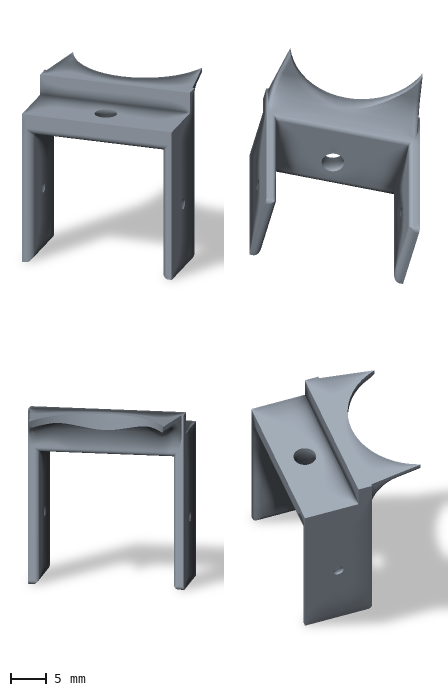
import cadquery as cq

width = 22.0
height = 25.0
body_depth = 9.9

step_height = 3.0
step_depth = 2.0

wall = 1.5
roof = 3.02
channel_round = 0.98
back_round = 0.6

wing_reach = 7.75
wing_tip_x = 9.48
wing_thickness = 1.0
gusset_radius = 3.92
wing_edge_round = 0.5
scoop_radius = 10.0
scoop_gap = 1.0

roof_hole_diameter = 3.15
leg_hole_diameter = 1.5
leg_hole_height = 9.5

half_width = width / 2
ledge_height = height - step_height
channel_top = ledge_height - roof
inner_x = half_width - wall


def leg_corner_cutter(side):
    """Full-depth cutter that rounds the inner bottom corner of one leg."""
    r = channel_round
    block = cq.Workplane("XY").box(r, body_depth, r, centered=(True, False, False))
    block = block.translate((side * (inner_x + r / 2), -body_depth, 0))
    rod = (
        cq.Workplane("XZ", origin=(side * (inner_x + r), 0, r))
        .circle(r)
        .extrude(body_depth)
    )
    return block.cut(rod)


def make_body():
    """Stepped block with the channel cut through and its edges rounded."""
    body = (
        cq.Workplane("YZ", origin=(-half_width, 0, 0))
        .moveTo(0, 0)
        .lineTo(0, height)
        .lineTo(-step_depth, height)
        .lineTo(-step_depth, ledge_height)
        .lineTo(-body_depth, ledge_height)
        .lineTo(-body_depth, 0)
        .close()
        .extrude(width)
    )
    channel = cq.Workplane("XY").box(
        2 * inner_x, 2 * body_depth, channel_top, centered=(True, True, False)
    )
    body = body.cut(channel)
    margin = 0.25
    for y, radius in ((-body_depth, channel_round), (0, back_round)):
        rim = cq.selectors.BoxSelector(
            (-inner_x - margin, y - margin, margin),
            (inner_x + margin, y + margin, channel_top + margin),
        )
        body = body.edges(rim).fillet(radius)
    for side in (-1, 1):
        body = body.cut(leg_corner_cutter(side))
    rounded_block = (
        cq.Workplane("XY", origin=(0, -body_depth / 2, height / 2))
        .box(width, body_depth, height)
        .edges(">Y and <Z")
        .fillet(back_round)
    )
    return body.intersect(rounded_block)


def make_wing():
    """Tapered plate with a curved gusset below and a round scoop behind."""
    underside = height - wing_thickness
    profile = (
        cq.Workplane("YZ", origin=(-half_width, 0, 0))
        .moveTo(-step_depth, height)
        .lineTo(wing_reach, height)
        .lineTo(wing_reach, underside)
        .lineTo(gusset_radius, underside)
        .radiusArc((0, underside - gusset_radius), -gusset_radius)
        .lineTo(-step_depth, underside - gusset_radius)
        .close()
        .extrude(width)
    )
    taper = (
        cq.Workplane("XY")
        .polyline([
            (-half_width, -step_depth),
            (half_width, -step_depth),
            (wing_tip_x, wing_reach),
            (-wing_tip_x, wing_reach),
        ])
        .close()
        .extrude(height)
    )
    wing = profile.intersect(taper)
    margin = 0.25
    lower_edges = cq.selectors.BoxSelector(
        (-half_width, 0, underside - gusset_radius),
        (half_width, wing_reach - margin, underside + margin),
    )
    side_edges = wing.faces("<X or >X").edges(lower_edges)
    wing = wing.newObject(side_edges.vals()).fillet(wing_edge_round)
    scoop = (
        cq.Workplane("XY")
        .center(0, scoop_gap + scoop_radius)
        .circle(scoop_radius)
        .extrude(height)
    )
    return wing.cut(scoop)


roof_hole = (
    cq.Workplane("XY")
    .center(0, -(step_depth + body_depth) / 2)
    .circle(roof_hole_diameter / 2)
    .extrude(height)
)
leg_holes = (
    cq.Workplane("YZ", origin=(-half_width, 0, 0))
    .center(-body_depth / 2, leg_hole_height)
    .circle(leg_hole_diameter / 2)
    .extrude(width)
)

result = make_body().union(make_wing()).cut(roof_hole).cut(leg_holes)